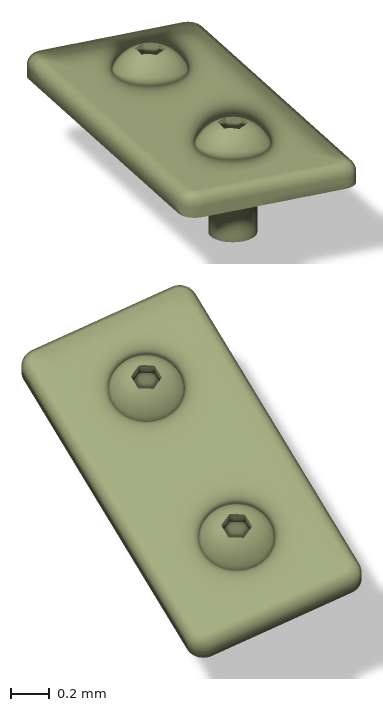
import cadquery as cq
import math

plate_length = 2.0
plate_width = 1.0
plate_thickness = 0.125
corner_radius = 0.095
edge_radius = 0.062

screw_spacing = plate_length / 2
shank_diameter = 0.252
shank_length = 0.375
head_diameter = 0.395
head_height = 0.12
socket_flats = 0.138
socket_depth = 0.08

head_radius = head_diameter / 2
flat_distance = socket_flats / 2
center_height = (head_height**2 + flat_distance**2 - head_radius**2) / (2 * head_height)
sphere_radius = math.hypot(head_radius, center_height)
dome_height = center_height + sphere_radius
socket_corners = socket_flats / math.cos(math.pi / 6)

screw_positions = [(-screw_spacing / 2, 0), (screw_spacing / 2, 0)]


def make_plate():
    """Rounded plate, underside at Z = 0, with a close-fitting hole per screw."""
    return (
        cq.Workplane("XY")
        .box(plate_length, plate_width, plate_thickness, centered=(True, True, False))
        .edges("|Z")
        .fillet(corner_radius)
        .faces(">Z")
        .edges()
        .fillet(edge_radius)
        .pushPoints(screw_positions)
        .circle(shank_diameter / 2)
        .cutThruAll()
    )


def make_screw(x, y):
    """Button-head screw with a hexagonal socket, head seated on the plate."""
    shank = (
        cq.Workplane("XY")
        .workplane(offset=-shank_length)
        .circle(shank_diameter / 2)
        .extrude(shank_length + plate_thickness)
    )
    base_angle = math.atan2(-center_height, head_radius)
    middle_angle = (base_angle + math.pi / 2) / 2
    arc_middle = (
        sphere_radius * math.cos(middle_angle),
        center_height + sphere_radius * math.sin(middle_angle),
    )
    head = (
        cq.Workplane("XZ")
        .lineTo(head_radius, 0)
        .threePointArc(arc_middle, (0, dome_height))
        .close()
        .revolve(360, (0, 0, 0), (0, 1, 0))
        .translate((0, 0, plate_thickness))
    )
    socket = (
        cq.Workplane("XY")
        .workplane(offset=plate_thickness + head_height - socket_depth)
        .polygon(6, socket_corners)
        .extrude(dome_height)
    )
    return shank.union(head).cut(socket).translate((x, y, 0))


plate = make_plate()
screws = [make_screw(x, y) for x, y in screw_positions]

result = cq.Compound.makeCompound([plate.val(), *[screw.val() for screw in screws]])